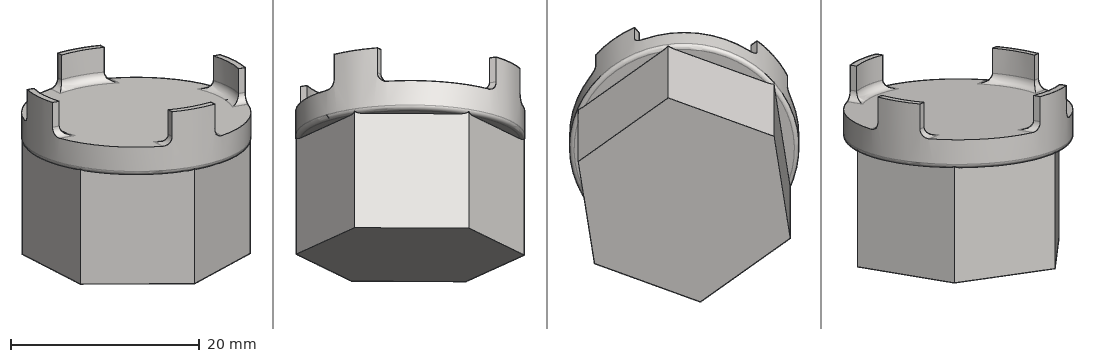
import cadquery as cq
import math

cap_diameter = 24.35
total_height = 19.54
cap_radius = cap_diameter / 2

hex_across_flats = 21.0
hex_across_corners = hex_across_flats / math.cos(math.pi / 6)

tab_count = 4
tab_width = 5.25
tab_thickness = 0.8
tab_height = 3.75
tab_root_radius = 1.0

cap_thickness = 3.2
cap_edge_radius = 0.49
cap_top = total_height - tab_height
cap_bottom = cap_top - cap_thickness

trim_allowance = 1.22
blank_radius = cap_radius + trim_allowance
blank_size = 2 * blank_radius
tab_overlap = 1.22
tab_bottom = cap_top - tab_overlap


def make_plug():
    """Hexagonal prism with two corners on the X axis."""
    return cq.Workplane("XY").polygon(6, hex_across_corners).extrude(cap_bottom + cap_edge_radius)


def make_slab():
    """Oversized flat slab that becomes the cap once trimmed to the envelope."""
    slab = cq.Workplane("XY").workplane(offset=cap_bottom)
    return slab.rect(blank_size, blank_size).extrude(cap_thickness)


def make_envelope():
    """Cylinder with a rounded lower edge that bounds the cap and the tabs."""
    cylinder = cq.Workplane("XY").workplane(offset=cap_bottom).circle(cap_radius)
    cylinder = cylinder.extrude(total_height - cap_bottom)
    return cylinder.faces("<Z").edges().fillet(cap_edge_radius).rotate((0, 0, 0), (0, 0, 1), 180)


def make_rim_wall():
    """Full ring whose inner wall flares into the cap with a concave root."""
    inner_radius = cap_radius - tab_thickness
    root_top = cap_top + tab_root_radius
    bend = tab_root_radius * (1 - math.sqrt(0.5))
    return (
        cq.Workplane("XZ")
        .moveTo(blank_radius, tab_bottom)
        .lineTo(blank_radius, total_height)
        .lineTo(inner_radius, total_height)
        .lineTo(inner_radius, root_top)
        .threePointArc((inner_radius - bend, cap_top + bend), (inner_radius - tab_root_radius, cap_top))
        .lineTo(inner_radius - tab_root_radius, tab_bottom)
        .close()
        .revolve(360, (0, 0, 0), (0, 1, 0))
    )


def make_tab_outline():
    """Straight bar along -Y with the tab's width and concave roots on both sides."""
    half_width = tab_width / 2
    root_top = cap_top + tab_root_radius
    bend = tab_root_radius * (1 - math.sqrt(0.5))
    return (
        cq.Workplane("XZ")
        .moveTo(-half_width - tab_root_radius, tab_bottom)
        .lineTo(-half_width - tab_root_radius, cap_top)
        .threePointArc((-half_width - bend, cap_top + bend), (-half_width, root_top))
        .lineTo(-half_width, total_height)
        .lineTo(half_width, total_height)
        .lineTo(half_width, root_top)
        .threePointArc((half_width + bend, cap_top + bend), (half_width + tab_root_radius, cap_top))
        .lineTo(half_width + tab_root_radius, tab_bottom)
        .close()
        .extrude(blank_size)
    )


tab = make_rim_wall().intersect(make_tab_outline())

cap = make_slab()
for index in range(tab_count):
    angle = index * 360 / tab_count
    cap = cap.union(tab.rotate((0, 0, 0), (0, 0, 1), angle))

result = cap.intersect(make_envelope()).union(make_plug())